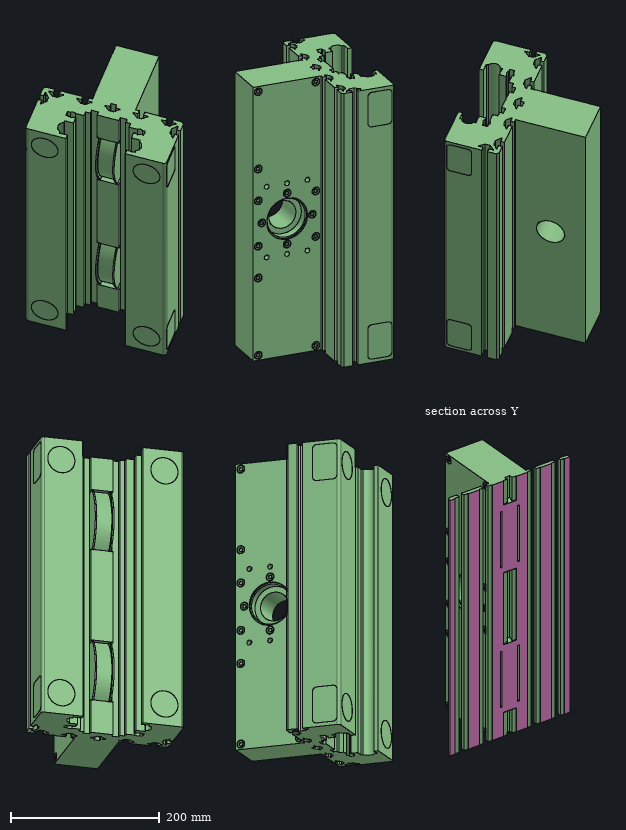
import cadquery as cq
import math

LENGTH = 400.0
RAIL_WIDTH = 200.0
RAIL_DEPTH = 78.0
FRONT_FILLET = 4.0
BACK_CHAMFER = 3.0

HALF_LENGTH = LENGTH / 2
HALF_WIDTH = RAIL_WIDTH / 2

TSLOT_COUNT = 5
TSLOT_PITCH = 40.0
TSLOT_OPENING = 8.0
TSLOT_WIDTH = 21.0
TSLOT_NECK = 5.5
TSLOT_SHOULDER = 1.0
TSLOT_DEPTH = 12.5
TSLOT_FLOOR = 7.0
SIDE_TSLOT_Y = 58.0

MOUTH_HALF = 42.0
CHANNEL_HALF = 41.0
STEP_HALF = 32.0
GROOVE_OUTER_HALF = 25.0
WEB_HALF = 15.5
STEP_Y = 46.0
WEB_Y = 53.0
GROOVE_Y = 58.5

GUIDE_HALF = 53.5
GUIDE_BULGE_HALF = 59.0
GUIDE_FRONT_Y = 6.5
GUIDE_BACK_Y = 29.0
GUIDE_ARC_HALF_HEIGHT = 8.5
ROD_SLOT_HALF = 55.0
ROD_SLOT_Y = 39.0
ROD_X = 47.5
ROD_DIAMETER = 10.0

BOX_WIDTH = 61.5
BOX_DEPTH = 100.0
BOX_HALF = BOX_WIDTH / 2
BOX_MID_Y = RAIL_DEPTH + BOX_DEPTH / 2

BORE_DIAMETER = 40.0
BORE_SEAT_DIAMETER = 56.0
BORE_SEAT_DEPTH = 16.0
BORE_STEP_DIAMETER = 60.0
BORE_STEP_DEPTH = 3.0

MOUNT_HOLE_DIAMETER = 7.0
MOUNT_HOLE_DEPTH = 12.0
MOUNT_HOLE_PITCH = 30.0
MOUNT_HOLE_Z = 51.5

SCREW_RECESS_DIAMETER = 11.0
SCREW_HEAD_DIAMETER = 10.0
SCREW_HEAD_HEIGHT = 5.5
SOCKET_FLATS = 5.0
SOCKET_DEPTH = 1.5
SCREW_EDGE_MARGIN = 7.5
SCREW_COLUMN_OFFSET = BOX_DEPTH / 2 - SCREW_EDGE_MARGIN
SCREW_END_Z = HALF_LENGTH - SCREW_EDGE_MARGIN
SCREW_OUTER_Z = 79.5
SCREW_INNER_Z = 33.0
SCREW_CIRCLE_RADIUS = 37.0

WHEEL_Z = 109.0
WHEEL_RADIUS = 68.0
WHEEL_FRONT_Y = 39.0
WHEEL_WIDTH = 26.5
RIM_WIDTH = 2.0
RIM_HEIGHT = 4.0
POCKET_LENGTH = 87.0

MARK_DEPTH = 0.2
CAP_DIAMETER = 38.0
CAP_X = 72.5
CAP_Z = 169.0
PLATE_FRONT_Y = FRONT_FILLET
PLATE_BACK_Y = 39.5
PLATE_HEIGHT = 50.5
PLATE_CORNER = 6.0
PLATE_Z = 169.5


def make_rail():
    rail = cq.Workplane("XY").box(RAIL_WIDTH, RAIL_DEPTH, LENGTH).translate((0, RAIL_DEPTH / 2, 0))
    rail = rail.edges("|Z and <Y").fillet(FRONT_FILLET)
    return rail.edges("|Z and >Y").chamfer(BACK_CHAMFER)


def make_tslot():
    """T-slot cutter whose mouth lies on Y = 0 and which goes toward -Y."""
    neck = TSLOT_OPENING / 2
    wide = TSLOT_WIDTH / 2
    shoulder = TSLOT_NECK + TSLOT_SHOULDER
    half = [
        (neck, 0),
        (neck, -TSLOT_NECK),
        (wide, -TSLOT_NECK),
        (wide, -shoulder),
        (TSLOT_FLOOR / 2, -TSLOT_DEPTH),
    ]
    other_half = [(-x, y) for x, y in reversed(half)]
    outline = cq.Workplane("XY", origin=(0, 0, -HALF_LENGTH)).polyline(half + other_half).close()
    return outline.extrude(LENGTH)


def make_half_channel():
    """Half of the channel section on the +X side, with both slots of its side wall."""
    arc_mid_y = (GUIDE_FRONT_Y + GUIDE_BACK_Y) / 2
    rod_y = (ROD_SLOT_Y + STEP_Y) / 2
    section = (
        cq.Workplane("XY", origin=(0, 0, -HALF_LENGTH))
        .lineTo(MOUTH_HALF, 0)
        .lineTo(MOUTH_HALF, GUIDE_FRONT_Y)
        .lineTo(GUIDE_HALF, GUIDE_FRONT_Y)
        .lineTo(GUIDE_HALF, arc_mid_y - GUIDE_ARC_HALF_HEIGHT)
        .threePointArc((GUIDE_BULGE_HALF, arc_mid_y), (GUIDE_HALF, arc_mid_y + GUIDE_ARC_HALF_HEIGHT))
        .lineTo(GUIDE_HALF, GUIDE_BACK_Y)
        .lineTo(CHANNEL_HALF, GUIDE_BACK_Y)
        .lineTo(CHANNEL_HALF, ROD_SLOT_Y)
        .lineTo(ROD_SLOT_HALF, ROD_SLOT_Y)
        .lineTo(ROD_SLOT_HALF, STEP_Y)
        .lineTo(STEP_HALF, STEP_Y)
        .lineTo(STEP_HALF, WEB_Y)
        .lineTo(GROOVE_OUTER_HALF, WEB_Y)
        .lineTo(GROOVE_OUTER_HALF, GROOVE_Y)
        .lineTo(WEB_HALF, GROOVE_Y)
        .lineTo(WEB_HALF, WEB_Y)
        .lineTo(0, WEB_Y)
        .close()
        .extrude(LENGTH)
    )
    rod_groove = (
        cq.Workplane("XY", origin=(ROD_X, rod_y, -HALF_LENGTH)).circle(ROD_DIAMETER / 2).extrude(LENGTH)
    )
    return section.union(rod_groove)


def make_wheel():
    """Wheel about an axis along X, with a raised rim at each side."""
    center_y = WHEEL_FRONT_Y + WHEEL_RADIUS
    half_width = WHEEL_WIDTH / 2
    hub = cq.Workplane("YZ", origin=(-half_width, center_y, 0))
    wheel = hub.circle(WHEEL_RADIUS - RIM_HEIGHT).extrude(WHEEL_WIDTH)
    for rim_x in (-half_width, half_width - RIM_WIDTH):
        rim = cq.Workplane("YZ", origin=(rim_x, center_y, 0)).circle(WHEEL_RADIUS).extrude(RIM_WIDTH)
        wheel = wheel.union(rim)
    return wheel


def box_face(offset_y=0.0, z=0.0):
    """Workplane on the -X face of the gearbox; positive extrusion goes into the block."""
    return cq.Workplane("YZ", origin=(-BOX_HALF, BOX_MID_Y + offset_y, z))


def make_screw_cut(offset_y, z, turn):
    """Clearance ring around a flush screw head, with its hexagon socket."""
    ring = (
        box_face(offset_y, z)
        .circle(SCREW_RECESS_DIAMETER / 2)
        .circle(SCREW_HEAD_DIAMETER / 2)
        .extrude(SCREW_HEAD_HEIGHT)
    )
    socket_corners = SOCKET_FLATS / math.cos(math.pi / 6)
    socket = box_face(offset_y, z).transformed(rotate=(0, 0, turn)).polygon(6, socket_corners)
    return ring.union(socket.extrude(SOCKET_DEPTH))


def screw_places():
    """(Y offset from the bore, Z, socket turn in degrees) of every screw."""
    back, front = SCREW_COLUMN_OFFSET, -SCREW_COLUMN_OFFSET
    flats_along_z, flats_along_y = 90, 0
    places = []
    for side in (-1, 1):
        for z in (SCREW_END_Z, SCREW_OUTER_Z, SCREW_INNER_Z):
            places.append((back, side * z, flats_along_z))
        for z in (SCREW_END_Z, SCREW_INNER_Z):
            places.append((front, side * z, flats_along_z))
        places.append((side * SCREW_CIRCLE_RADIUS, 0, flats_along_y))
        places.append((0, side * SCREW_CIRCLE_RADIUS, flats_along_y))
    return places


def make_box():
    return cq.Workplane("XY").box(BOX_WIDTH, BOX_DEPTH, LENGTH).translate((0, BOX_MID_Y, 0))


def drill_box(body):
    """Stepped bore, mounting holes and screws on the -X face of the gearbox."""
    bore_steps = (
        (BORE_DIAMETER, BOX_WIDTH),
        (BORE_SEAT_DIAMETER, BORE_SEAT_DEPTH),
        (BORE_STEP_DIAMETER, BORE_STEP_DEPTH),
    )
    for diameter, depth in bore_steps:
        body = body.cut(box_face().circle(diameter / 2).extrude(depth))
    holes = box_face().rarray(MOUNT_HOLE_PITCH, 2 * MOUNT_HOLE_Z, 3, 2).circle(MOUNT_HOLE_DIAMETER / 2)
    body = body.cut(holes.extrude(MOUNT_HOLE_DEPTH))
    for offset_y, z, turn in screw_places():
        body = body.cut(make_screw_cut(offset_y, z, turn))
    return body


rail = make_rail()
half_channel = make_half_channel()
rail = rail.cut(half_channel).cut(half_channel.mirror("YZ"))

tslot = make_tslot()
for index in range(TSLOT_COUNT):
    slot_x = (index - (TSLOT_COUNT - 1) / 2) * TSLOT_PITCH
    rail = rail.cut(tslot.translate((slot_x, RAIL_DEPTH, 0)))
for side in (-1, 1):
    side_slot = tslot.rotate((0, 0, 0), (0, 0, 1), -90 * side)
    rail = rail.cut(side_slot.translate((side * HALF_WIDTH, SIDE_TSLOT_Y, 0)))

pocket_depth = RAIL_DEPTH - WEB_Y
pocket = cq.Workplane("XY").box(2 * WEB_HALF, pocket_depth, POCKET_LENGTH)
pocket = pocket.translate((0, WEB_Y + pocket_depth / 2, 0))
for side in (-1, 1):
    rail = rail.cut(pocket.translate((0, 0, side * WHEEL_Z)))

caps = cq.Workplane("XZ").rarray(2 * CAP_X, 2 * CAP_Z, 2, 2).circle(CAP_DIAMETER / 2).extrude(-MARK_DEPTH)
rail = rail.cut(caps)

plate = cq.Workplane("XY").box(MARK_DEPTH, PLATE_BACK_Y - PLATE_FRONT_Y, PLATE_HEIGHT)
plate = plate.edges("|X").fillet(PLATE_CORNER)
plate_x = HALF_WIDTH - MARK_DEPTH / 2
plate_y = (PLATE_FRONT_Y + PLATE_BACK_Y) / 2
for side_x in (-1, 1):
    for side_z in (-1, 1):
        rail = rail.cut(plate.translate((side_x * plate_x, plate_y, side_z * PLATE_Z)))

body = rail.union(make_box())
wheel = make_wheel()
for side in (-1, 1):
    body = body.union(wheel.translate((0, 0, side * WHEEL_Z)))
result = drill_box(body)